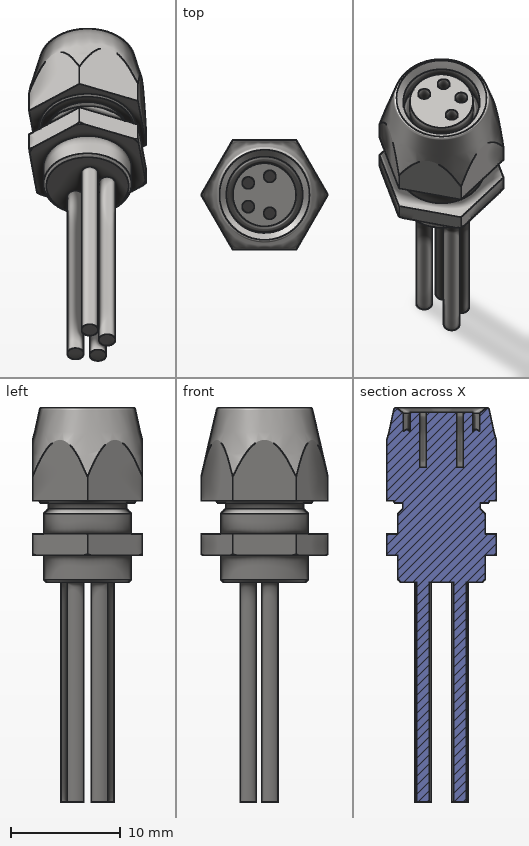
import cadquery as cq
import math

WIRE_LENGTH = 20.0
HOUSING_HEIGHT = 15.9

HEX_ACROSS_FLATS = 10.0
CORNER_RADIUS = HEX_ACROSS_FLATS / 2 / math.cos(math.pi / 6)

COUPLING_HEX_HEIGHT = 8.5
COLLAR_TOP_RADIUS = 4.42
COLLAR_BOTTOM_RADIUS = 4.25
COLLAR_HEIGHT = 0.2
NOSE_RADIUS = 4.32
NOSE_EDGE_FILLET = 0.25
CONE_LENGTH = 6.3

BODY_RADIUS = 4.0
BODY_TOP = 6.7
BODY_TOP_CHAMFER = 0.45
BODY_BOTTOM_CHAMFER = 0.25
NECK_RADIUS = 3.55

LOCK_NUT_BOTTOM = 2.45
LOCK_NUT_HEIGHT = 1.95
LOCK_NUT_CORNER_CUT = 0.2
LOCK_NUT_CORNER_ANGLE = math.radians(30)

COUNTERSINK_RADIUS = 4.1
COUNTERSINK_DEPTH = 0.5
GROOVE_OUTER_RADIUS = 3.48
GROOVE_INNER_RADIUS = 2.87
SEAL_CREST_DEPTH = 2.0
INSERT_RECESS = 0.43

CONTACT_POSITIONS = [(-1.48, 1.08), (-1.48, -1.08), (0.48, 1.68), (0.48, -1.68)]
CONTACT_RADIUS = 0.55
CONTACT_DEPTH = 5.0
WIRE_RADIUS = 0.75

COUPLING_BOTTOM = HOUSING_HEIGHT - COUPLING_HEX_HEIGHT


def revolve_profile(profile):
    """Close an (r, z) outline and turn it about the Z axis."""
    return profile.close().revolve(360, (0, 0, 0), (0, 1, 0))


def hex_prism(bottom, height):
    """Hexagonal prism with two corners on the X axis."""
    return cq.Workplane("XY").workplane(offset=bottom).polygon(6, 2 * CORNER_RADIUS).extrude(height)


def coupling_nut():
    """Hexagon turned to a cone at the top, with a tapered collar beneath."""
    shoulder = HOUSING_HEIGHT - CONE_LENGTH
    envelope = revolve_profile(
        cq.Workplane("XZ")
        .moveTo(0, COUPLING_BOTTOM)
        .lineTo(CORNER_RADIUS, COUPLING_BOTTOM)
        .lineTo(CORNER_RADIUS, shoulder)
        .lineTo(NOSE_RADIUS, HOUSING_HEIGHT)
        .lineTo(0, HOUSING_HEIGHT)
    )
    envelope = envelope.faces(">Z").edges().fillet(NOSE_EDGE_FILLET)
    collar = revolve_profile(
        cq.Workplane("XZ")
        .moveTo(0, COUPLING_BOTTOM)
        .lineTo(COLLAR_TOP_RADIUS, COUPLING_BOTTOM)
        .lineTo(COLLAR_BOTTOM_RADIUS, COUPLING_BOTTOM - COLLAR_HEIGHT)
        .lineTo(0, COUPLING_BOTTOM - COLLAR_HEIGHT)
    )
    return hex_prism(COUPLING_BOTTOM, COUPLING_HEX_HEIGHT).intersect(envelope).union(collar)


def body():
    """Round body with chamfered ends and a neck reaching into the coupling nut."""
    barrel = cq.Workplane("XY").circle(BODY_RADIUS).extrude(BODY_TOP)
    barrel = barrel.faces(">Z").chamfer(BODY_TOP_CHAMFER)
    barrel = barrel.faces("<Z").chamfer(BODY_BOTTOM_CHAMFER)
    neck = cq.Workplane("XY").circle(NECK_RADIUS).extrude(COUPLING_BOTTOM)
    return barrel.union(neck)


def lock_nut():
    """Hexagonal nut whose lower corners are broken by a shallow cone."""
    top = LOCK_NUT_BOTTOM + LOCK_NUT_HEIGHT
    corner_rise = LOCK_NUT_CORNER_CUT * math.tan(LOCK_NUT_CORNER_ANGLE)
    envelope = revolve_profile(
        cq.Workplane("XZ")
        .moveTo(0, LOCK_NUT_BOTTOM)
        .lineTo(CORNER_RADIUS - LOCK_NUT_CORNER_CUT, LOCK_NUT_BOTTOM)
        .lineTo(CORNER_RADIUS, LOCK_NUT_BOTTOM + corner_rise)
        .lineTo(CORNER_RADIUS, top)
        .lineTo(0, top)
    )
    return hex_prism(LOCK_NUT_BOTTOM, LOCK_NUT_HEIGHT).intersect(envelope)


def mating_recess():
    """Countersunk opening around the insert, ending on the round crest of the seal."""
    insert_top = HOUSING_HEIGHT - INSERT_RECESS
    crest = HOUSING_HEIGHT - SEAL_CREST_DEPTH
    seal_radius = (GROOVE_OUTER_RADIUS - GROOVE_INNER_RADIUS) / 2
    seal_middle = (GROOVE_OUTER_RADIUS + GROOVE_INNER_RADIUS) / 2
    seal_level = crest - seal_radius
    return revolve_profile(
        cq.Workplane("XZ")
        .moveTo(0, HOUSING_HEIGHT)
        .lineTo(COUNTERSINK_RADIUS, HOUSING_HEIGHT)
        .lineTo(GROOVE_OUTER_RADIUS, HOUSING_HEIGHT - COUNTERSINK_DEPTH)
        .lineTo(GROOVE_OUTER_RADIUS, seal_level)
        .threePointArc((seal_middle, crest), (GROOVE_INNER_RADIUS, seal_level))
        .lineTo(GROOVE_INNER_RADIUS, insert_top)
        .lineTo(0, insert_top)
    )


def contact_holes():
    """Blind socket holes sunk into the insert face."""
    return (
        cq.Workplane("XY")
        .workplane(offset=HOUSING_HEIGHT - INSERT_RECESS)
        .pushPoints(CONTACT_POSITIONS)
        .circle(CONTACT_RADIUS)
        .extrude(-CONTACT_DEPTH)
    )


def wires():
    """Straight wires hanging from the underside of the body."""
    return cq.Workplane("XY").pushPoints(CONTACT_POSITIONS).circle(WIRE_RADIUS).extrude(-WIRE_LENGTH)


housing = coupling_nut().union(body()).union(lock_nut())
housing = housing.cut(mating_recess()).cut(contact_holes())
result = housing.union(wires())